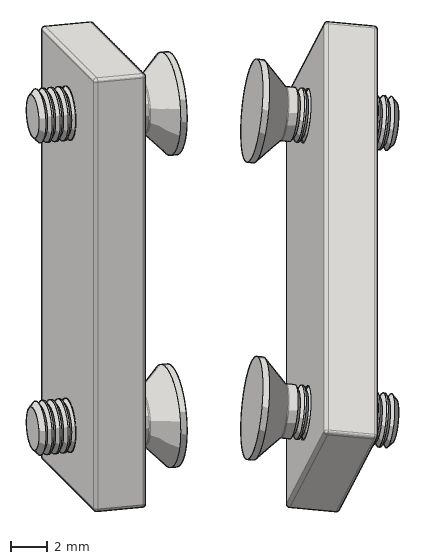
import cadquery as cq

PLATE_WIDTH = 10.0
PLATE_DEPTH = 3.0
PLATE_HEIGHT = 25.0
PLATE_EDGE_RADIUS = 0.2

SCREW_SPACING = 18.0
SCREW_LENGTH = 8.0
TIP_Y = -2.0
HEAD_RADIUS = 2.85
HEAD_RIM = 0.38
SHANK_RADIUS = 1.5
NECK_FILLET = 0.1
TIP_CHAMFER = 0.3

GROOVE_COUNT = 12
THREAD_LENGTH = 5.42
CREST_FLAT = 0.1
GROOVE_DEPTH = 0.25
GROOVE_WIDTH = (THREAD_LENGTH - (GROOVE_COUNT - 1) * CREST_FLAT) / GROOVE_COUNT
THREAD_PITCH = GROOVE_WIDTH + CREST_FLAT

HEAD_BACK_Y = TIP_Y + SCREW_LENGTH
RIM_FRONT_Y = HEAD_BACK_Y - HEAD_RIM
NECK_Y = RIM_FRONT_Y - (HEAD_RADIUS - SHANK_RADIUS)

SCREW_HEIGHTS = (-SCREW_SPACING / 2, SCREW_SPACING / 2)


def make_plate():
    """Block with all its edges rounded and one through hole for each screw."""
    block = (
        cq.Workplane("XY")
        .box(PLATE_WIDTH, PLATE_DEPTH, PLATE_HEIGHT)
        .translate((0, PLATE_DEPTH / 2, 0))
        .edges()
        .fillet(PLATE_EDGE_RADIUS)
    )
    holes = (
        cq.Workplane("XZ")
        .pushPoints([(0, height) for height in SCREW_HEIGHTS])
        .circle(SHANK_RADIUS)
        .extrude(-PLATE_DEPTH)
    )
    return block.cut(holes)


def screw_profile():
    """Half section as (radius, Y) points, from the tip to the back of the head."""
    thread_start_y = TIP_Y + TIP_CHAMFER

    points = [(0, TIP_Y), (SHANK_RADIUS - TIP_CHAMFER, TIP_Y)]
    for index in range(GROOVE_COUNT):
        groove_y = thread_start_y + index * THREAD_PITCH
        points += [
            (SHANK_RADIUS, groove_y),
            (SHANK_RADIUS - GROOVE_DEPTH, groove_y + GROOVE_WIDTH / 2),
            (SHANK_RADIUS, groove_y + GROOVE_WIDTH),
        ]
    points += [
        (SHANK_RADIUS, NECK_Y),
        (HEAD_RADIUS, RIM_FRONT_Y),
        (HEAD_RADIUS, HEAD_BACK_Y),
        (0, HEAD_BACK_Y),
    ]
    return points


def make_screw(height):
    """One screw, turned about its own axis, at the given Z."""
    screw = cq.Workplane("XY").polyline(screw_profile()).close().revolve(360, (0, 0, 0), (0, 1, 0))
    neck_edge = cq.selectors.NearestToPointSelector((0, NECK_Y, 0))
    screw = screw.edges("%CIRCLE").edges(neck_edge).fillet(NECK_FILLET)
    return screw.translate((0, 0, height))


plate = make_plate()
screws = [make_screw(height) for height in SCREW_HEIGHTS]

result = cq.Compound.makeCompound([plate.val(), *[screw.val() for screw in screws]])